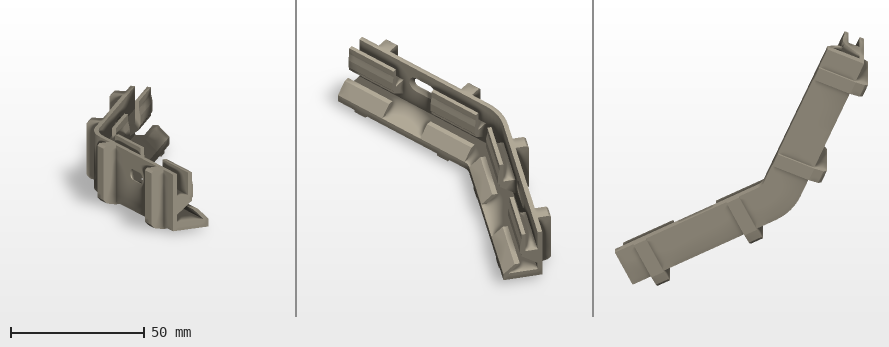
import cadquery as cq


bend_angle = 40.0
bend_radius = 19.8
depth = 15.0
height = 22.1
wall = 1.8
floor_height = 3.1

clip_length = 21.0
plate_length = 18.0

lip_height = 7.4
lip_thickness = 2.0
lip_lean = lip_height - floor_height

flange_back = 8.0
flange_thickness = 1.5
flange_front = flange_back - flange_thickness
flange_slope_low = 6.3
flange_slope_high = 10.9
channel_floor = 13.3

ridge_back = flange_back + 0.6
ridge_low = 11.9
ridge_crest_low = 12.7
ridge_crest_high = 16.4
ridge_high = 19.2

rib_width = 5.2
rib_reach = 5.1
rib_drop = 1.1
rib_top_chamfer = 0.8
rib_tip_low = 1.2
rib_nose_length = 1.3
rib_nose_low = -0.2

slot_length = 10.0
slot_width = 4.0
slot_land = 0.5
slot_center_height = 14.0
countersink_depth = wall - slot_land
countersink_taper = 45.0

yaw = -0.15
pitch = 0.06

y_axis_end = (0, 1, 0)
z_axis_end = (0, 0, 1)
origin = (0, 0, 0)

l_outline = [
    (0, 0),
    (depth, 0),
    (depth, floor_height),
    (wall, floor_height),
    (wall, height),
    (0, height),
]


def section(outline, start):
    """Closed outline standing across the right arm at x = start."""
    return cq.Workplane("YZ", origin=(start, -bend_radius, 0)).polyline(outline).close()


def make_rib(center):
    outline = [
        (wall, height),
        (rib_top_chamfer - rib_reach, height),
        (-rib_reach, height - rib_top_chamfer),
        (-rib_reach, rib_tip_low),
        (rib_nose_length - rib_reach, rib_nose_low),
        (0, -rib_drop),
        (depth, -rib_drop),
        (depth, floor_height),
        (wall, floor_height),
    ]
    return section(outline, center - rib_width / 2).extrude(rib_width)


def make_clip(start):
    outline = [
        (0, 0),
        (depth, 0),
        (depth, floor_height),
        (depth - lip_lean, lip_height),
        (depth - lip_lean - lip_thickness, lip_height),
        (depth - lip_thickness, floor_height),
        (wall, floor_height),
        (wall, flange_slope_low),
        (flange_back, flange_slope_high),
        (flange_back, ridge_low),
        (ridge_back, ridge_crest_low),
        (ridge_back, ridge_crest_high),
        (flange_back, ridge_high),
        (flange_back, height),
        (flange_front, height),
        (flange_front, channel_floor),
        (wall, channel_floor),
        (wall, height),
        (0, height),
    ]
    rail = section(outline, start).extrude(clip_length)
    return rail.union(make_rib(start + clip_length / 2))


def make_plate(start):
    slot_center = (start + plate_length / 2, wall - bend_radius, slot_center_height)
    inner_face = cq.Workplane("XZ", origin=slot_center)
    slot = inner_face.slot2D(slot_length, slot_width).extrude(wall)
    countersink = inner_face.slot2D(
        slot_length + 2 * countersink_depth, slot_width + 2 * countersink_depth
    ).extrude(countersink_depth, taper=countersink_taper)
    return section(l_outline, start).extrude(plate_length).cut(slot).cut(countersink)


def make_bend():
    """L section swept about the bend axis, from the right arm to the left arm."""
    return section(l_outline, 0).revolve(bend_angle, (bend_radius, 0, 0), (bend_radius, -1, 0))


def to_left_arm(body):
    return body.mirror("YZ").rotate(origin, z_axis_end, -bend_angle)


def place(body):
    return body.rotate(origin, z_axis_end, yaw).rotate(origin, y_axis_end, pitch)


clips = []
for clip_start in (0, clip_length + plate_length):
    clip = make_clip(clip_start)
    clips += [clip, to_left_arm(clip)]

plate = make_plate(clip_length)
plates = [plate, to_left_arm(plate)]

bend = make_bend()

result = cq.Compound.makeCompound([place(body).val() for body in clips + plates + [bend]])